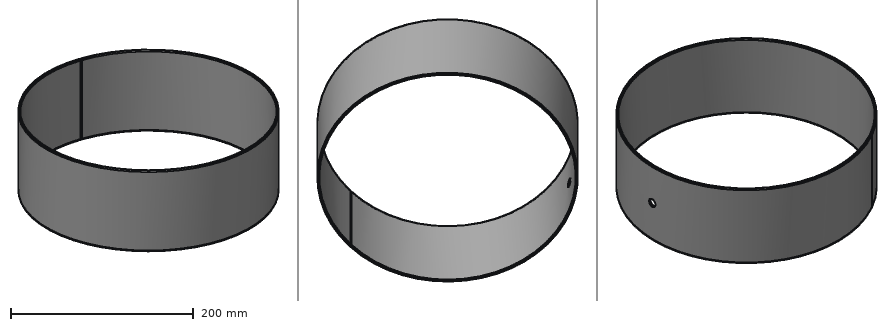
import cadquery as cq

outer_diameter = 285.0
height = 100.0
wall = 2.5

bevel_height = 1.7
bevel_depth = 0.7

split_width = 2.3

hole_diameter = 10.0
hole_angle = 59.0

outer_radius = outer_diameter / 2
inner_radius = outer_radius - wall


def make_ring():
    """Thin band with steep bevels on its inner and outer rim edges."""
    profile = (
        cq.Workplane("XZ")
        .moveTo(-inner_radius - bevel_depth, 0)
        .lineTo(-outer_radius + bevel_depth, 0)
        .lineTo(-outer_radius, bevel_height)
        .lineTo(-outer_radius, height - bevel_height)
        .lineTo(-outer_radius + bevel_depth, height)
        .lineTo(-inner_radius - bevel_depth, height)
        .lineTo(-inner_radius, height - bevel_height)
        .lineTo(-inner_radius, bevel_height)
        .close()
    )
    return profile.revolve(360, (0, 0, 0), (0, 1, 0))


def make_split():
    """Full-height cutter reaching from the axis out through the -X wall."""
    return cq.Workplane("XY").box(
        outer_diameter, split_width, height, centered=(True, False, False)
    ).translate((-outer_radius, 0, 0))


def make_hole():
    """Radial cutter from the axis outwards, turned to the hole angle."""
    drill = cq.Workplane("YZ").center(0, height / 2).circle(hole_diameter / 2).extrude(outer_diameter)
    return drill.rotate((0, 0, 0), (0, 0, 1), hole_angle)


result = make_ring().cut(make_split()).cut(make_hole())